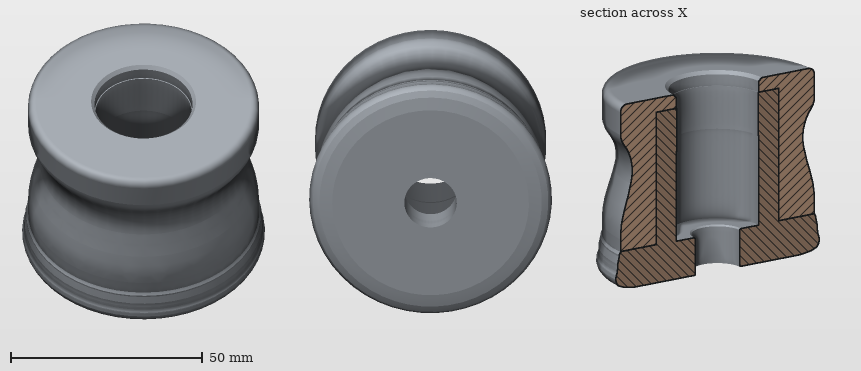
import cadquery as cq
import math

HEIGHT = 50.8
OUTER_R = 31.75
SPLIT_Z = 10.5

RIM_R = 30.2
RIM_FILLET = 2.05
NECK_R = 26.6
NECK_Z = 32.05
GROOVE_R = 12.4
SHOULDER_R = 4.75
SLOPE_ANGLE = 15.8
SLOPE_END_Z = 22.3
SKIRT_TOP_Z = 14.0

MOUTH_R = 12.8
MOUTH_CHAMFER = 0.9

SPINDLE_R = 19.05
SPINDLE_TOP_Z = HEIGHT - 4.0
BORE_R = 12.6
RELIEF_R = 12.8
RELIEF_TOP_Z = HEIGHT - 15.75
FLOOR_Z = SPLIT_Z
HOLE_R = 6.85
HOLE_CHAMFER = 0.4

BEVEL_HEIGHT = 0.75
COLLAR_R = 30.7
COLLAR_Z = 9.3
CONE_END = (31.1, 7.25)
WAIST_MID = (31.1, 6.65)
WAIST_END = (31.2, 6.1)
STEP_START = (31.25, 5.2)
STEP_MID = (31.4, 4.7)
STEP_END = (31.55, 4.3)
LIP_START = (31.6, 4.05)
LIP_WIDEST = (OUTER_R, 3.2)
LIP_MID = (31.5, 2.15)
LIP_END = (30.8, 1.2)
FOOT_EDGE = (29.1, 0.5)
FOOT_R = 25.7


def make_knob():
    """Turned knob with a finger groove, a chamfered mouth and a socket for the spindle."""
    arc_sum = SHOULDER_R + GROOVE_R
    turn = math.acos(1 - (RIM_R - NECK_R) / arc_sum)
    rim_bottom_z = NECK_Z + arc_sum * math.sin(turn)
    groove_top = (
        NECK_R + GROOVE_R * (1 - math.cos(turn)),
        NECK_Z + GROOVE_R * math.sin(turn),
    )
    slope = math.radians(SLOPE_ANGLE)
    groove_bottom = (
        NECK_R + GROOVE_R * (1 - math.cos(slope)),
        NECK_Z - GROOVE_R * math.sin(slope),
    )
    slope_end_r = groove_bottom[0] + (groove_bottom[1] - SLOPE_END_Z) * math.tan(slope)
    half_turn = turn / 2
    shoulder_mid = (
        RIM_R - SHOULDER_R * (1 - math.cos(half_turn)),
        rim_bottom_z - SHOULDER_R * math.sin(half_turn),
    )
    fillet_mid_inset = RIM_FILLET * (1 - math.sqrt(0.5))

    profile = (
        cq.Workplane("XZ")
        .moveTo(SPINDLE_R, SPLIT_Z)
        .lineTo(RIM_R, SPLIT_Z)
        .lineTo(RIM_R, SKIRT_TOP_Z)
        .tangentArcPoint((slope_end_r, SLOPE_END_Z), relative=False)
        .lineTo(*groove_bottom)
        .threePointArc((NECK_R, NECK_Z), groove_top)
        .threePointArc(shoulder_mid, (RIM_R, rim_bottom_z))
        .lineTo(RIM_R, HEIGHT - RIM_FILLET)
        .threePointArc(
            (RIM_R - fillet_mid_inset, HEIGHT - fillet_mid_inset),
            (RIM_R - RIM_FILLET, HEIGHT),
        )
        .lineTo(MOUTH_R + MOUTH_CHAMFER, HEIGHT)
        .lineTo(MOUTH_R, HEIGHT - MOUTH_CHAMFER)
        .lineTo(MOUTH_R, SPINDLE_TOP_Z)
        .lineTo(SPINDLE_R, SPINDLE_TOP_Z)
        .close()
    )
    return profile.revolve(360, (0, 0, 0), (0, 1, 0))


def make_base():
    """Turned base with a stepped flank, a rounded lip and a bored spindle."""
    profile = (
        cq.Workplane("XZ")
        .moveTo(HOLE_R, 0)
        .lineTo(FOOT_R, 0)
        .lineTo(*FOOT_EDGE)
        .lineTo(*LIP_END)
        .threePointArc(LIP_MID, LIP_WIDEST)
        .lineTo(*LIP_START)
        .lineTo(*STEP_END)
        .threePointArc(STEP_MID, STEP_START)
        .lineTo(*WAIST_END)
        .threePointArc(WAIST_MID, CONE_END)
        .lineTo(COLLAR_R, COLLAR_Z)
        .lineTo(COLLAR_R, SPLIT_Z - BEVEL_HEIGHT)
        .lineTo(RIM_R, SPLIT_Z)
        .lineTo(SPINDLE_R, SPLIT_Z)
        .lineTo(SPINDLE_R, SPINDLE_TOP_Z)
        .lineTo(BORE_R, SPINDLE_TOP_Z)
        .lineTo(BORE_R, RELIEF_TOP_Z)
        .lineTo(RELIEF_R, RELIEF_TOP_Z)
        .lineTo(RELIEF_R, FLOOR_Z)
        .lineTo(HOLE_R + HOLE_CHAMFER, FLOOR_Z)
        .lineTo(HOLE_R, FLOOR_Z - HOLE_CHAMFER)
        .close()
    )
    return profile.revolve(360, (0, 0, 0), (0, 1, 0))


knob = make_knob()
base = make_base()
result = cq.Compound.makeCompound([knob.val(), base.val()])